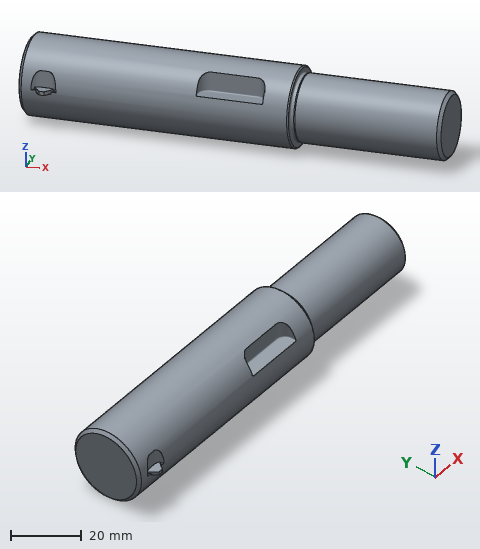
import cadquery as cq
import math

overall_length = 125.0
body_radius = 23.8 / 2
body_length = 80.4
front_chamfer = 1.0
shoulder_chamfer = 0.4
shank_radius = 20.0 / 2
shank_chamfer = 1.0

groove_radius = 19.6 / 2
groove_fillet = 0.3
groove_floor_end = 81.4
groove_end = 81.8

pocket_center_x = 62.7
pocket_length = 19.8
pocket_wall_y = -6.5
pocket_floor_z = 4.05
pocket_corner_radius = 3.1
pocket_floor_fillet = 0.4

tooth_center_x = 7.6
notch_flat_width = 1.9
notch_wall_y = -10.5
notch_floor_z = 0.0
notch_corner_radius = 3.4

tooth_tip_y = -(25.54 - body_radius)
tooth_tip_width = 1.5
tooth_flank_angle = 40.0
tooth_thickness = 1.15
tooth_root_y = -10.0


def turned_body():
    groove_start = body_length + groove_fillet
    profile = (
        cq.Workplane("XY")
        .lineTo(0, body_radius - front_chamfer)
        .lineTo(front_chamfer, body_radius)
        .lineTo(body_length - shoulder_chamfer, body_radius)
        .lineTo(body_length, body_radius - shoulder_chamfer)
        .lineTo(body_length, groove_radius + groove_fillet)
        .radiusArc((groove_start, groove_radius), -groove_fillet)
        .lineTo(groove_floor_end, groove_radius)
        .lineTo(groove_end, shank_radius)
        .lineTo(overall_length - shank_chamfer, shank_radius)
        .lineTo(overall_length, shank_radius - shank_chamfer)
        .lineTo(overall_length, 0)
        .close()
    )
    return profile.revolve(360, (0, 0, 0), (1, 0, 0))


def side_cutter(center_x, length, wall_y, floor_z, corner_radius):
    """Block that cuts in from -Y down to floor_z, with rounded vertical corners at its back wall."""
    depth = 2 * body_radius
    height = 2 * body_radius
    return (
        cq.Workplane("XY", origin=(center_x, wall_y - depth / 2, floor_z))
        .rect(length, depth)
        .extrude(height)
        .edges("|Z and >Y")
        .fillet(corner_radius)
    )


def clamping_pocket():
    cutter = side_cutter(
        pocket_center_x, pocket_length, pocket_wall_y, pocket_floor_z, pocket_corner_radius
    )
    return cutter.faces("<Z").edges().fillet(pocket_floor_fillet)


def chip_notch():
    length = notch_flat_width + 2 * notch_corner_radius
    return side_cutter(tooth_center_x, length, notch_wall_y, notch_floor_z, notch_corner_radius)


def cutting_tooth():
    tip_half = tooth_tip_width / 2
    tooth_length = tooth_root_y - tooth_tip_y
    root_half = tip_half + tooth_length * math.tan(math.radians(tooth_flank_angle))
    outline = [
        (-tip_half, tooth_tip_y),
        (tip_half, tooth_tip_y),
        (root_half, tooth_root_y),
        (-root_half, tooth_root_y),
    ]
    return (
        cq.Workplane("XY", origin=(tooth_center_x, 0, -tooth_thickness / 2))
        .polyline(outline)
        .close()
        .extrude(tooth_thickness)
    )


result = turned_body().cut(clamping_pocket()).cut(chip_notch()).union(cutting_tooth())